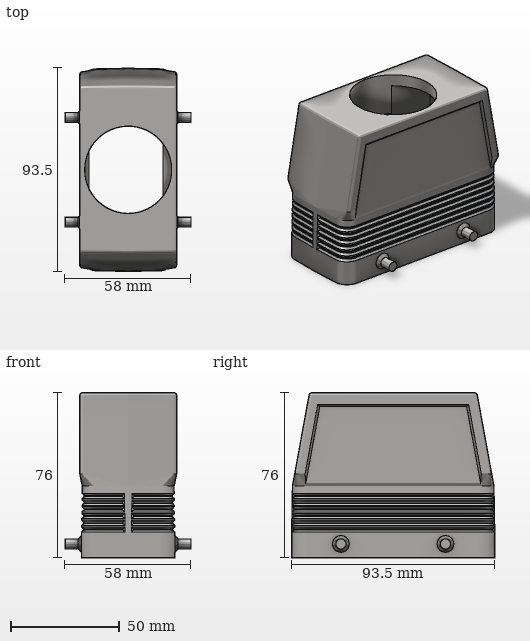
import cadquery as cq
import math

height = 76.0

base_half_width = 21.5
base_half_length = 46.75
base_corner_radius = 7.0
base_end_slope = 0.02
base_top = 11.9
collar_top = 33.0
collar_inset = 0.4

groove_count = 6
groove_pitch = 3.1
groove_width = 2.4
groove_depth = 0.9
end_bar_half_width = 1.4

shell_half_width = 22.3
shell_corner_z = 38.7
shell_top_half_length = 38.5
shell_end_slope = 0.01
shell_fillet = 1.4

recess_depth = 0.9
recess_top = 70.6
recess_top_half_length = 34.7

cavity_x_min = -17.95
cavity_x_max = 16.0
cavity_half_length = 35.1
roof_thickness = 5.7
bore_radius = 20.0
bore_depth = 20.0

pin_radius = 2.3
pin_tip_x = 29.0
pin_z = 6.45
pin_half_spacing = 24.0
pin_cone_length = 1.5
pin_root_depth = 0.9

collar_half_length = base_half_length - collar_inset
shell_taper = (collar_half_length - shell_top_half_length) / (height - collar_top)


def shell_half_length(z):
    """Half length of the shell on the centre line at height z."""
    return collar_half_length - shell_taper * (z - collar_top)


def body_inset(z):
    """Draft of the lower body at height z."""
    return collar_inset * max(0, z - base_top) / (collar_top - base_top)


def rounded_outline(z, half_width, half_length, radius):
    """Closed wire at height z: straight sides, V ends and round corners."""
    angle = math.atan(base_end_slope)
    corner_x = half_width - radius
    corner_y = half_length - corner_x * base_end_slope - radius / math.cos(angle)

    def corner_point(sign_x, sign_y, direction):
        x = corner_x + radius * math.cos(direction)
        y = corner_y + radius * math.sin(direction)
        return (sign_x * x, sign_y * y)

    end_direction = math.pi / 2 - angle
    middle = end_direction / 2
    return (
        cq.Workplane("XY", origin=(0, 0, z))
        .moveTo(*corner_point(1, -1, 0))
        .lineTo(*corner_point(1, 1, 0))
        .threePointArc(corner_point(1, 1, middle), corner_point(1, 1, end_direction))
        .lineTo(0, half_length)
        .lineTo(*corner_point(-1, 1, end_direction))
        .threePointArc(corner_point(-1, 1, middle), corner_point(-1, 1, 0))
        .lineTo(*corner_point(-1, -1, 0))
        .threePointArc(corner_point(-1, -1, middle), corner_point(-1, -1, end_direction))
        .lineTo(0, -half_length)
        .lineTo(*corner_point(1, -1, end_direction))
        .threePointArc(corner_point(1, -1, middle), corner_point(1, -1, 0))
        .close()
        .val()
    )


def body_outline(z, extra_inset=0):
    """Outline of the lower body at height z, optionally sunk further in."""
    inset = body_inset(z) + extra_inset
    return rounded_outline(
        z, base_half_width - inset, base_half_length - inset, base_corner_radius - inset
    )


def ruled_loft(wires):
    return cq.Workplane(cq.Solid.makeLoft(wires, True))


def lower_body():
    sections = [body_outline(0)]
    for index in range(groove_count):
        low = base_top + index * groove_pitch
        high = low + groove_width
        sections += [
            body_outline(low),
            body_outline(low + groove_depth, groove_depth),
            body_outline(high - groove_depth, groove_depth),
            body_outline(high),
        ]
    sections.append(body_outline(collar_top))
    return ruled_loft(sections)


def end_bars():
    """Ungrooved strips at both ends, widening at 45 degrees towards the groove floor."""
    plain_body = ruled_loft([body_outline(base_top), body_outline(collar_top)])
    root = 2 * groove_depth
    bars = cq.Workplane("XY")
    for side in (1, -1):
        bars = bars.union(
            cq.Workplane("XY", origin=(0, 0, base_top))
            .polyline([
                (-end_bar_half_width - root, side * (base_half_length - root)),
                (-end_bar_half_width, side * base_half_length),
                (end_bar_half_width, side * base_half_length),
                (end_bar_half_width + root, side * (base_half_length - root)),
            ])
            .close()
            .extrude(collar_top - base_top)
        )
    return plain_body.intersect(bars)


def shell_outline(z):
    end = shell_half_length(z)
    corner = end - shell_end_slope * shell_half_width
    side = shell_half_width
    points = [
        (side, -corner), (side, corner), (0, end), (-side, corner), (-side, -corner), (0, -end)
    ]
    return cq.Workplane("XY", origin=(0, 0, z)).polyline(points).close().val()


def upper_shell():
    shell = ruled_loft([shell_outline(collar_top), shell_outline(height)])
    corner_edges = shell.faces(">X or <X").edges("not |Y")
    shell = corner_edges.add(shell.edges(">Z")).fillet(shell_fillet)
    return shell.intersect(flare_envelope())


def flare_envelope():
    """Widens from the round collar to the near-sharp shell corners, then goes straight up."""
    end = (
        shell_half_length(shell_corner_z)
        + (base_end_slope - shell_end_slope) * shell_half_width
    )
    collar = body_outline(collar_top)
    rim = rounded_outline(shell_corner_z, shell_half_width, end, shell_fillet)
    flare = ruled_loft([collar, rim])
    clear_size = 2 * base_half_length
    above = (
        cq.Workplane("XY", origin=(0, 0, shell_corner_z))
        .rect(clear_size, clear_size)
        .extrude(height - shell_corner_z)
    )
    return flare.union(above)


def side_recess(side):
    """Trapezoid pocket with 45 degree walls, running out through the flare below."""
    bottom = collar_top
    floor_x = shell_half_width - recess_depth

    def trapezoid(x, growth):
        top = recess_top - recess_depth + growth
        top_half = recess_top_half_length - recess_depth + growth
        bottom_half = top_half + shell_taper * (top - bottom)
        points = [(-bottom_half, bottom), (bottom_half, bottom), (top_half, top), (-top_half, top)]
        return cq.Workplane("YZ", origin=(side * x, 0, 0)).polyline(points).close().val()

    reach = 2 * recess_depth
    return ruled_loft([trapezoid(floor_x, 0), trapezoid(floor_x + reach, reach)])


def cavity():
    """Straight-walled space for the connector insert, open at the bottom."""
    return (
        cq.Workplane("XY")
        .center((cavity_x_min + cavity_x_max) / 2, 0)
        .rect(cavity_x_max - cavity_x_min, 2 * cavity_half_length)
        .extrude(height - roof_thickness)
    )


def cable_bore():
    """Round cable entry, deep enough to cut pockets into the cavity side walls."""
    return (
        cq.Workplane("XY", origin=(0, 0, height - bore_depth))
        .circle(bore_radius)
        .extrude(bore_depth)
    )


def pin(side, y):
    """Locking pin rooted in the side wall, with a cone where it leaves the wall."""
    root_x = base_half_width - pin_root_depth
    cone_end_x = base_half_width + pin_cone_length
    root_radius = pin_radius + pin_cone_length
    profile = [
        (root_x, 0),
        (root_x, root_radius),
        (base_half_width, root_radius),
        (cone_end_x, pin_radius),
        (pin_tip_x, pin_radius),
        (pin_tip_x, 0),
    ]
    return (
        cq.Workplane("XY", origin=(0, y, pin_z))
        .polyline([(side * x, radius) for x, radius in profile])
        .close()
        .revolve(360, (0, 0, 0), (1, 0, 0))
    )


result = lower_body().union(end_bars()).union(upper_shell())
for x_side in (1, -1):
    result = result.cut(side_recess(x_side))
    for y_side in (1, -1):
        result = result.union(pin(x_side, y_side * pin_half_spacing))
result = result.cut(cavity()).cut(cable_bore())